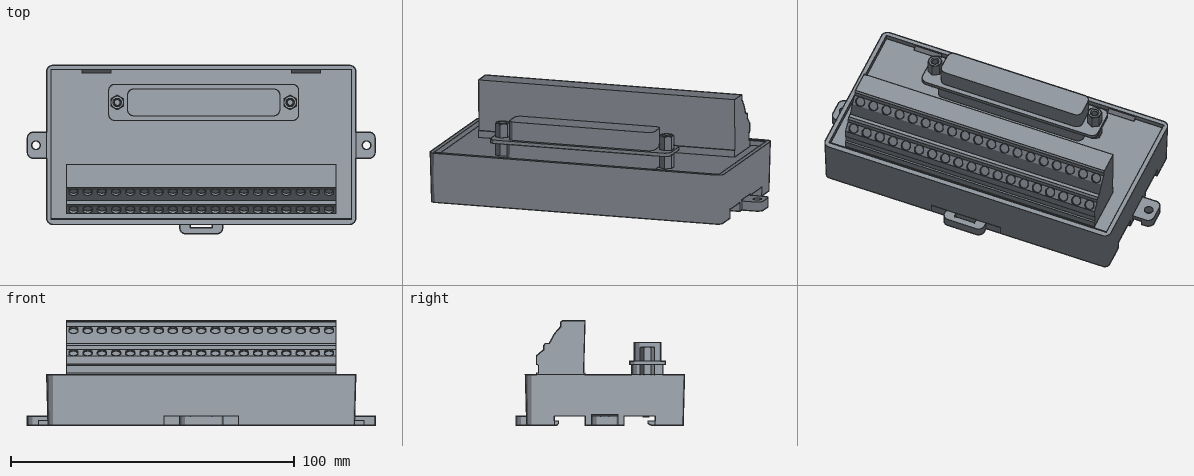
import cadquery as cq
import math

HOUSING_LENGTH = 109.0
HOUSING_WIDTH = 56.2
HOUSING_HEIGHT = 17.9
WALL_INSET = 0.5
CORNER_RADIUS = 2.3

TRAY_DEPTH = 1.8
RIM_WIDTH = 1.6
FRONT_RIM_WIDTH = 2.2
RIM_BEVEL_Y = 0.4
RIM_BEVEL_Z = 0.1
DECK_Z = HOUSING_HEIGHT - TRAY_DEPTH

SNAP_LENGTH = 10.2
SNAP_CENTER_X = 36.9
SNAP_DEPTH = 1.1
SNAP_HEIGHT = 1.2

RAIL_DEPTH = 3.3
BACK_CHANNEL = (6.7, 17.7)
FRONT_CHANNEL = (-17.8, -7.0)
HOOK_TOP = 1.6
HOOK_NOSE = 0.7
BACK_HOOK_REACH = 2.6
FRONT_HOOK_REACH = 1.5
RAIL_PAD = (13.5, 15.6)
RAIL_PAD_THICKNESS = 0.4
CLIP_WIDTH = 26.4

LOOP_WIDTH = 15.2
LOOP_REACH = 3.3
LOOP_BAR = 2.2
LOOP_SLOT = 7.7
LOOP_RADIUS = 2.2

TAB_WIDTH = 9.3
TAB_CENTER_Y = -0.1
TAB_HEIGHT = 3.3
TAB_RADIUS = 2.2
LEFT_TAB_END = -61.3
RIGHT_TAB_END = 61.3
TAB_HOLE_X = 58.2
TAB_HOLE_DIAMETER = 3.0
TAB_NOTCH_HEIGHT = 1.7
TAB_NOTCH_DEPTH = 1.5
TAB_NOTCH_FROM_END = 3.9
TAB_RELIEF = 0.7

CONNECTOR_X = 0.9
CONNECTOR_Y = 15.0
FLANGE_LENGTH = 67.0
FLANGE_WIDTH = 12.8
FLANGE_BOTTOM = 21.5
FLANGE_TOP = 22.7
SHELL_LENGTH = 53.7
SHELL_WIDTH = 9.5
SHELL_TOP = 29.3
SHELL_RADIUS = 2.2
SOCKET_MARGIN = 1.6
SCREW_SPACING = 60.9
SCREW_FLATS = 4.4
SCREW_TOP = 27.7
SCREW_HOLE_DIAMETER = 2.1
SCREW_SINK_DIAMETER = 3.0
SCREW_SINK_ANGLE = 90
SCREW_HOLE_DEPTH = 4.9
SCREW_CHAMFER = 0.4

POLES = 19
BLOCK_LENGTH = 95.0
BLOCK_TOP = 36.9
POLE_PITCH = BLOCK_LENGTH / POLES
BLOCK_BACK = -7.0
BLOCK_BACK_LEAN = 0.5
FOOT_TOP = 18.5
FOOT_FRONT = -24.2
UPPER_SLOPE = ((-15.6, 34.8), (-17.8, 32.4))
LOWER_SLOPE = ((-21.6, 26.7), (-24.2, 24.5))
SHELF_Z = 28.9
SHELF_BACK = -19.6
EDGE_BEVEL_Y = 0.6
TOP_BEVEL_Z = 0.5
SHELF_BEVEL_Z = 0.7
UNDERCUT_OUTER_Z = 21.6
UNDERCUT_INNER_Z = 21.2
UNDERCUT = 0.7
ENTRY_DIAMETER = 3.3
ENTRY_DEPTH = 1.0


def box(x_range, y_range, z_range):
    """Axis-aligned box between pairs of limits."""
    return cq.Workplane("XY").box(
        x_range[1] - x_range[0], y_range[1] - y_range[0], z_range[1] - z_range[0], centered=False
    ).translate((x_range[0], y_range[0], z_range[0]))


def bar_along_x(outline, length, center_x=0.0):
    """Bar with a closed (Y, Z) outline, centred on center_x."""
    return cq.Workplane("YZ").polyline(outline).close().extrude(length / 2, both=True).translate((center_x, 0, 0))


def rounded_block(length, width, radius, bottom, top):
    """Upright block with rounded vertical edges, on the connector's centre."""
    block = cq.Workplane("XY").box(length, width, top - bottom, centered=(True, True, False))
    return block.edges("|Z").fillet(radius).translate((CONNECTOR_X, CONNECTOR_Y, bottom))


def make_shell():
    """Drafted case with the tray in its top."""
    draft = math.degrees(math.atan(WALL_INSET / HOUSING_HEIGHT))
    footprint = (
        cq.Sketch()
        .rect(HOUSING_LENGTH - 2 * WALL_INSET, HOUSING_WIDTH - 2 * WALL_INSET)
        .vertices()
        .fillet(CORNER_RADIUS - WALL_INSET)
    )
    case = cq.Workplane("XY").placeSketch(footprint).extrude(HOUSING_HEIGHT, taper=-draft)
    tray_length = HOUSING_LENGTH - 2 * RIM_WIDTH
    front_y = -HOUSING_WIDTH / 2 + FRONT_RIM_WIDTH
    back_y = HOUSING_WIDTH / 2 - RIM_WIDTH
    tray_outline = [
        (front_y, DECK_Z),
        (front_y, HOUSING_HEIGHT - RIM_BEVEL_Z),
        (front_y - RIM_BEVEL_Y, HOUSING_HEIGHT),
        (back_y, HOUSING_HEIGHT),
        (back_y, DECK_Z),
    ]
    return case.cut(bar_along_x(tray_outline, tray_length))


def make_snap(center_x):
    """Wedge against the back wall of the tray."""
    wall_y = HOUSING_WIDTH / 2 - RIM_WIDTH
    outline = [(wall_y, DECK_Z), (wall_y - SNAP_DEPTH, DECK_Z), (wall_y, DECK_Z + SNAP_HEIGHT)]
    return bar_along_x(outline, SNAP_LENGTH, center_x)


def make_rail_channel(y_range):
    """Channel along the whole underside."""
    half_length = HOUSING_LENGTH / 2
    return box((-half_length, half_length), y_range, (0, RAIL_DEPTH))


def make_rail_hook(wall_y, reach):
    """Hook from a channel wall; the sign of reach is its direction along Y."""
    tip_y = wall_y + reach
    outline = [
        (wall_y, 0),
        (wall_y + reach / 2, 0),
        (tip_y, HOOK_NOSE),
        (tip_y, HOOK_TOP),
        (wall_y, HOOK_TOP),
    ]
    return bar_along_x(outline, CLIP_WIDTH)


def make_rail_pad():
    """Thin pad that hangs from the ceiling of the back channel."""
    return box((-CLIP_WIDTH / 2, CLIP_WIDTH / 2), RAIL_PAD, (RAIL_DEPTH - RAIL_PAD_THICKNESS, RAIL_DEPTH))


def make_clip():
    """Rail clip: plate upright in the front wall, with a pull loop."""
    face_y = -HOUSING_WIDTH / 2 + WALL_INSET
    front_y = -HOUSING_WIDTH / 2 - LOOP_REACH
    plate = box((-CLIP_WIDTH / 2, CLIP_WIDTH / 2), (face_y, FRONT_CHANNEL[0]), (0, RAIL_DEPTH))
    loop = box((-LOOP_WIDTH / 2, LOOP_WIDTH / 2), (front_y, face_y), (0, RAIL_DEPTH))
    loop = loop.edges("|Z and <Y").fillet(LOOP_RADIUS)
    slot = box((-LOOP_SLOT / 2, LOOP_SLOT / 2), (front_y + LOOP_BAR, face_y), (0, RAIL_DEPTH))
    return plate.union(loop.cut(slot))


def make_clip_recess():
    """Upright recess in the drafted front wall that leaves the clip face flush at the bottom."""
    front_y = -HOUSING_WIDTH / 2
    return box((-CLIP_WIDTH / 2, CLIP_WIDTH / 2), (front_y, front_y + WALL_INSET), (0, RAIL_DEPTH))


def make_tab(end_x):
    """Screw tab that reaches from the end wall to end_x."""
    side = math.copysign(1, end_x)
    root_x = side * (HOUSING_LENGTH / 2 - 2 * WALL_INSET)
    y_range = (TAB_CENTER_Y - TAB_WIDTH / 2, TAB_CENTER_Y + TAB_WIDTH / 2)
    tab = box(sorted((root_x, end_x)), y_range, (0, TAB_HEIGHT))
    tab = tab.edges("|Z").edges(">X" if side > 0 else "<X").fillet(TAB_RADIUS)
    hole = cq.Workplane("XY").center(side * TAB_HOLE_X, TAB_CENTER_Y)
    hole = hole.circle(TAB_HOLE_DIAMETER / 2).extrude(TAB_HEIGHT)
    wall_x = side * (HOUSING_LENGTH / 2 - WALL_INSET)
    notch = box(
        sorted((wall_x, end_x - side * TAB_NOTCH_FROM_END)),
        (y_range[0], y_range[0] + TAB_NOTCH_DEPTH),
        (0, TAB_NOTCH_HEIGHT),
    )
    return tab.cut(hole).cut(notch)


def make_tab_relief(side):
    """Wedge above a tab that slopes up and out through the end wall."""
    outer_x = side * HOUSING_LENGTH / 2
    inner_x = outer_x - side * (TAB_RELIEF + WALL_INSET)
    outline = [(inner_x, TAB_HEIGHT), (outer_x, TAB_HEIGHT), (outer_x, TAB_HEIGHT + TAB_RELIEF)]
    wedge = cq.Workplane("XZ").polyline(outline).close().extrude(TAB_WIDTH / 2, both=True)
    return wedge.translate((0, TAB_CENTER_Y, 0))


def make_housing():
    housing = make_shell()
    for y_range in (BACK_CHANNEL, FRONT_CHANNEL):
        housing = housing.cut(make_rail_channel(y_range))
    housing = housing.union(make_rail_hook(BACK_CHANNEL[1], -BACK_HOOK_REACH))
    housing = housing.union(make_rail_hook(FRONT_CHANNEL[0], FRONT_HOOK_REACH))
    housing = housing.union(make_rail_pad())
    housing = housing.cut(make_clip_recess()).union(make_clip())
    for side in (-1, 1):
        housing = housing.union(make_snap(side * SNAP_CENTER_X)).cut(make_tab_relief(side))
    for end_x in (LEFT_TAB_END, RIGHT_TAB_END):
        housing = housing.union(make_tab(end_x))
    return housing


def make_jack_screw(center_x):
    """Hexagonal post with a blind hole, standing on the deck with its corners along Y."""
    height = SCREW_TOP - DECK_Z
    corner_diameter = SCREW_FLATS / math.cos(math.radians(30))
    post = cq.Workplane("XY").polygon(6, corner_diameter).extrude(height)
    post = post.rotate((0, 0, 0), (0, 0, 1), 30)
    envelope = cq.Workplane("XY").circle(corner_diameter / 2).extrude(height)
    envelope = envelope.faces(">Z").chamfer(SCREW_CHAMFER, (corner_diameter - SCREW_FLATS) / 2)
    post = post.intersect(envelope)
    post = post.faces(">Z").workplane().cskHole(
        SCREW_HOLE_DIAMETER, SCREW_SINK_DIAMETER, SCREW_SINK_ANGLE, SCREW_HOLE_DEPTH
    )
    return post.translate((center_x, CONNECTOR_Y, DECK_Z))


def make_connector():
    socket = rounded_block(
        SHELL_LENGTH + SOCKET_MARGIN, SHELL_WIDTH + SOCKET_MARGIN, SHELL_RADIUS, DECK_Z, FLANGE_BOTTOM
    )
    flange = rounded_block(FLANGE_LENGTH, FLANGE_WIDTH, SHELL_RADIUS, FLANGE_BOTTOM, FLANGE_TOP)
    shell = rounded_block(SHELL_LENGTH, SHELL_WIDTH, SHELL_RADIUS, FLANGE_TOP, SHELL_TOP)
    connector = socket.union(flange).union(shell)
    for side in (-1, 1):
        connector = connector.union(make_jack_screw(CONNECTOR_X + side * SCREW_SPACING / 2))
    return connector


def make_entry_row(slope):
    """Row of round wire entries in a sloped face; all entries are square to the upper slope."""
    (upper_top_y, upper_top_z), (upper_low_y, upper_low_z) = UPPER_SLOPE
    normal = cq.Vector(0, upper_low_z - upper_top_z, upper_top_y - upper_low_y).normalized()
    (top_y, top_z), (low_y, low_z) = slope
    center = cq.Vector(0, (top_y + low_y) / 2, (top_z + low_z) / 2)
    entries = []
    for pole in range(POLES):
        x = (pole - (POLES - 1) / 2) * POLE_PITCH
        start = center + cq.Vector(x, 0, 0) - normal * ENTRY_DEPTH
        entries.append(cq.Solid.makeCylinder(ENTRY_DIAMETER / 2, 2 * ENTRY_DEPTH, start, normal))
    return cq.Compound.makeCompound(entries)


def make_terminal_block():
    upper_front = UPPER_SLOPE[0][0]
    lower_front = LOWER_SLOPE[0][0]
    nose_y = LOWER_SLOPE[1][0]
    foot_back = BLOCK_BACK - BLOCK_BACK_LEAN
    outline = [
        (BLOCK_BACK, DECK_Z),
        (BLOCK_BACK, FOOT_TOP),
        (foot_back, FOOT_TOP),
        (BLOCK_BACK, BLOCK_TOP),
        (upper_front + EDGE_BEVEL_Y, BLOCK_TOP),
        (upper_front, BLOCK_TOP - TOP_BEVEL_Z),
        *UPPER_SLOPE,
        (SHELF_BACK, SHELF_Z),
        (lower_front + EDGE_BEVEL_Y, SHELF_Z),
        (lower_front, SHELF_Z - SHELF_BEVEL_Z),
        *LOWER_SLOPE,
        (nose_y, UNDERCUT_OUTER_Z),
        (nose_y + UNDERCUT, UNDERCUT_INNER_Z),
        (nose_y + UNDERCUT, FOOT_TOP),
        (FOOT_FRONT, FOOT_TOP),
        (FOOT_FRONT, DECK_Z),
    ]
    block = bar_along_x(outline, BLOCK_LENGTH)
    for slope in (UPPER_SLOPE, LOWER_SLOPE):
        block = block.cut(cq.Workplane(make_entry_row(slope)))
    return block


housing = make_housing()
connector = make_connector()
terminal_block = make_terminal_block()

result = cq.Compound.makeCompound([housing.val(), connector.val(), terminal_block.val()])